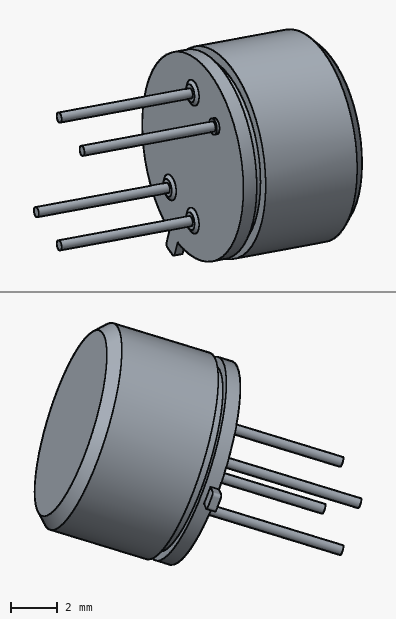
import cadquery as cq
import math

CAN_DIAMETER = 9.26
CAN_LENGTH = 6.0
CAN_CHAMFER_LENGTH = 0.5
CAN_CHAMFER_DEPTH = 0.48
FLANGE_DIAMETER = 9.12
FLANGE_THICKNESS = 0.65
GROOVE_DIAMETER = 8.32
GROOVE_WIDTH = 0.4

TAB_WIDTH = 0.8
TAB_THICKNESS = 0.4
TAB_REACH = 5.38
TAB_CORNER_RADIUS = 0.15
TAB_ANGLE = 22.5

LEAD_DIAMETER = 0.45
LEAD_LENGTH = 6.5
LEAD_CIRCLE_RADIUS = 2.91
SEALED_LEAD_ANGLES = [90, 225, 270]
GROUND_LEAD_ANGLE = 45

COLLAR_HEIGHT = 0.12
SEAL_BASE_DIAMETER = 1.14
SEAL_TOP_DIAMETER = 0.79
GROUND_COLLAR_DIAMETER = 0.71


def revolve_about_y(profile):
    """Revolve a closed outline of (radius, y) points about the Y axis."""
    return cq.Workplane("XY").polyline(profile).close().revolve(360, (0, 0, 0), (0, 1, 0))


def lead_position(angle):
    """Return the (x, z) place of a lead on the lead circle."""
    turn = math.radians(angle)
    return LEAD_CIRCLE_RADIUS * math.cos(turn), LEAD_CIRCLE_RADIUS * math.sin(turn)


def make_tab():
    """Locating tab flush with the base face, running from the axis to its rounded tip."""
    return (
        cq.Workplane("XY")
        .box(TAB_WIDTH, TAB_THICKNESS, TAB_REACH, centered=(True, False, False))
        .faces(">Z").edges("|Y").fillet(TAB_CORNER_RADIUS)
        .rotate((0, 0, 0), (0, 1, 0), 180 + TAB_ANGLE)
    )


def make_housing():
    """Chamfered can with a groove behind the base flange and a locating tab."""
    can_radius = CAN_DIAMETER / 2
    flange_radius = FLANGE_DIAMETER / 2
    groove_radius = GROOVE_DIAMETER / 2
    can_start = FLANGE_THICKNESS + GROOVE_WIDTH
    body = revolve_about_y([
        (0, 0),
        (flange_radius, 0),
        (flange_radius, FLANGE_THICKNESS),
        (groove_radius, FLANGE_THICKNESS),
        (groove_radius, can_start),
        (can_radius, can_start),
        (can_radius, CAN_LENGTH - CAN_CHAMFER_LENGTH),
        (can_radius - CAN_CHAMFER_DEPTH, CAN_LENGTH),
        (0, CAN_LENGTH),
    ])
    return body.union(make_tab())


def make_collar(angle, base_diameter, top_diameter):
    """Ring on the base face around one lead, tapered if its diameters differ."""
    x, z = lead_position(angle)
    bore_radius = LEAD_DIAMETER / 2
    ring = revolve_about_y([
        (bore_radius, 0),
        (base_diameter / 2, 0),
        (top_diameter / 2, -COLLAR_HEIGHT),
        (bore_radius, -COLLAR_HEIGHT),
    ])
    return ring.translate((x, 0, z))


def make_lead(angle):
    """Straight round lead standing on the base face."""
    return (
        cq.Workplane("XZ")
        .center(*lead_position(angle))
        .circle(LEAD_DIAMETER / 2)
        .extrude(LEAD_LENGTH)
    )


housing = make_housing()
seals = [make_collar(angle, SEAL_BASE_DIAMETER, SEAL_TOP_DIAMETER) for angle in SEALED_LEAD_ANGLES]
ground_collar = make_collar(GROUND_LEAD_ANGLE, GROUND_COLLAR_DIAMETER, GROUND_COLLAR_DIAMETER)
leads = [make_lead(angle) for angle in SEALED_LEAD_ANGLES + [GROUND_LEAD_ANGLE]]

result = cq.Compound.makeCompound([
    housing.val(),
    *[seal.val() for seal in seals],
    ground_collar.val(),
    *[lead.val() for lead in leads],
])